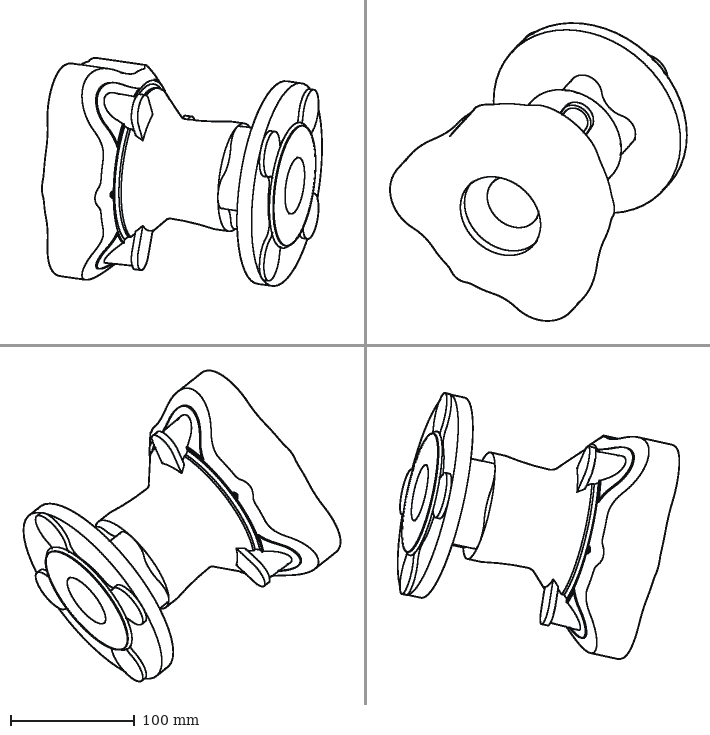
import cadquery as cq
import math


LENGTH = 189.8
KNOB_LIP_X = 58.8
NECK_START_X = 81.6
NECK_END_X = 89.8
FLARE_END_X = 127.5
BODY_END_X = 139.9
FLANGE_X = 167.8
FLANGE_RIM_X = 170.5
FLANGE_BACK_X = 183.0
LUG_PLATE_BACK_X = 186.8

LOBE_COUNT = 3
LOBE_STEP = 360.0 / LOBE_COUNT
LOBE_R = 33.8
LOBE_CENTER = 65.9
LOBE_FILLET_R = 39.9
KNOB_CORE_R = 76.1
BUMP_R = 14.6
BUMP_CENTER = 65.0
BUMP_FILLET_R = 16.1
KNOB_EDGE_R = 5.3
RIM_WIDTH = 10.5

RIM_APEX_X = 126.8
BACK_APEX_X = 125.6
GROOVE_APEX_X = 123.7
RING_R = 62.3

PIN_CENTER = 72.1
PIN_WIDTH = 21.6
PIN_DRAFT = 2.0
PIN_INNER = 38.0
PIN_START_X = 28.5
COLLAR_X = 67.5
COLLAR_END_X = 72.9
COLLAR_WIDTH = 27.0

FLARE_EDGE_R = 9.5
BODY_R = 44.0
STEM_LOBE_COUNT = 4
STEM_LOBE_R = 14.2
STEM_LOBE_END = 82.0
FLANGE_R = 82.7
LUG_COUNT = 4
LUG_CENTER = 45.5
LUG_R = 18.6
LUG_FILLET_R = 10.2
END_DISC_R = 51.2
END_DISC_CHAMFER = 2.3

BORE_R = 46.0 / 2
MOUTH_R = 71.0 / 2
MOUTH_DEPTH = 8.2
BORE_CONE_END_X = 25.0


def polar(radius, degrees, center=(0.0, 0.0)):
    """Point at a radius and angle around a centre."""
    angle = math.radians(degrees)
    return (center[0] + radius * math.cos(angle), center[1] + radius * math.sin(angle))


def rotated(point, degrees):
    """Point turned about the axis."""
    return polar(math.hypot(*point), math.degrees(math.atan2(point[1], point[0])) + degrees)


def mirrored(point):
    """Point reflected to the other side of a lobe's centre line."""
    return (point[0], -point[1])


def section(x):
    """Sketch plane across the axis, with Y to the right and Z up."""
    return cq.Workplane("YZ", origin=(x, 0, 0))


def revolved(points):
    """Solid turned about the X axis from (x, radius) points."""
    return cq.Workplane("XY").polyline(points).close().revolve(360, (0, 0, 0), (1, 0, 0))


def blended_outline(plane, core_r, lobes):
    """Circle around the axis with round lobes blended into it by concave fillets.

    Each lobe is (direction, distance of its centre, radius, fillet radius), in turning order.
    """
    blends = []
    for direction, distance, lobe_r, fillet_r in lobes:
        fillet_distance = core_r + fillet_r
        gap = lobe_r + fillet_r
        cosine = (distance**2 + fillet_distance**2 - gap**2) / (2 * distance * fillet_distance)
        core_angle = math.degrees(math.acos(cosine))
        fillet = polar(fillet_distance, core_angle)
        lobe_angle = math.degrees(math.atan2(fillet[1], fillet[0] - distance))
        after = [
            polar(lobe_r, lobe_angle, (distance, 0.0)),
            polar(-fillet_r, (lobe_angle + core_angle) / 2, fillet),
            polar(core_r, core_angle),
        ]
        before = [rotated(mirrored(point), direction) for point in after]
        after = [rotated(point, direction) for point in after]
        tip = polar(distance + lobe_r, direction)
        blends.append((direction, core_angle, before, tip, after))

    last_direction, last_angle, _, _, last_after = blends[-1]
    arc_start = last_direction + last_angle - 360
    wire = plane.moveTo(*last_after[2])
    for direction, core_angle, before, tip, after in blends:
        arc_end = direction - core_angle
        wire = (
            wire.threePointArc(polar(core_r, (arc_start + arc_end) / 2), before[2])
            .threePointArc(before[1], before[0])
            .threePointArc(tip, after[0])
            .threePointArc(after[1], after[2])
        )
        arc_start = direction + core_angle
    return wire.close()


def knob_outline(plane):
    """Three large lobes, the first along +Y, with a small bump between each two."""
    waves = []
    for index in range(LOBE_COUNT):
        turn = LOBE_STEP * index
        waves.append((turn, LOBE_CENTER, LOBE_R, LOBE_FILLET_R))
        waves.append((turn + LOBE_STEP / 2, BUMP_CENTER, BUMP_R, BUMP_FILLET_R))
    return blended_outline(plane, KNOB_CORE_R, waves)


def knob():
    """Lobed head whose conical back is sunk inside a narrow rim."""
    lip_r = RIM_APEX_X - KNOB_LIP_X
    rim_cone = revolved([(0, 0), (0, RIM_APEX_X), (KNOB_LIP_X, lip_r), (KNOB_LIP_X, 0)])
    floor_cone = revolved([
        (0, 0),
        (0, BACK_APEX_X),
        (BACK_APEX_X - lip_r, lip_r),
        (KNOB_LIP_X, lip_r),
        (KNOB_LIP_X, 0),
    ])
    head = knob_outline(section(0)).extrude(KNOB_LIP_X).faces("<X").edges().fillet(KNOB_EDGE_R)
    inside = knob_outline(section(0)).offset2D(-RIM_WIDTH).extrude(KNOB_LIP_X)
    return head.intersect(rim_cone).cut(inside.cut(floor_cone))


def sleeve():
    """Back cone of the knob, neck arc, gentle flare and cylindrical end of the sleeve."""
    neck_arc_r = (NECK_END_X - NECK_START_X) / math.sin(math.radians(45))
    neck_start_r = BACK_APEX_X - NECK_START_X
    neck_r = neck_start_r - neck_arc_r * (1 - math.cos(math.radians(45)))
    neck_mid = polar(-neck_arc_r, (45 + 90) / 2, (NECK_END_X, neck_r + neck_arc_r))
    profile = (
        cq.Workplane("XY")
        .moveTo(MOUTH_DEPTH, 0)
        .lineTo(MOUTH_DEPTH, GROOVE_APEX_X - KNOB_LIP_X)
        .lineTo(KNOB_LIP_X, GROOVE_APEX_X - KNOB_LIP_X)
        .lineTo(GROOVE_APEX_X - RING_R, RING_R)
        .lineTo(BACK_APEX_X - RING_R, RING_R)
        .lineTo(NECK_START_X, neck_start_r)
        .threePointArc(neck_mid, (NECK_END_X, neck_r))
        .tangentArcPoint((FLARE_END_X, BODY_R), relative=False)
        .lineTo(BODY_END_X, BODY_R)
        .lineTo(BODY_END_X, 0)
        .close()
    )
    body = profile.revolve(360, (0, 0, 0), (1, 0, 0))
    flare_edge = cq.selectors.BoxSelector((FLARE_END_X - 1.9, -1.9, -1.9), (FLARE_END_X + 1.9, 1.9, 1.9))
    return body.edges(flare_edge).fillet(FLARE_EDGE_R)


def pin_outline(x, width):
    """Slot pointing along +Y, round at the lobe and buried in the neck at its inner end."""
    reach = PIN_CENTER - PIN_INNER
    middle = (PIN_CENTER + PIN_INNER) / 2
    return section(x).center(middle, 0).slot2D(reach + width, width)


def pins():
    """One collared pin standing on the back of each lobe."""
    shaft = pin_outline(COLLAR_X, PIN_WIDTH).extrude(PIN_START_X - COLLAR_X, taper=-PIN_DRAFT)
    collar = pin_outline(COLLAR_X, COLLAR_WIDTH).extrude(COLLAR_END_X - COLLAR_X)
    pin = shaft.union(collar)
    group = pin
    for index in range(1, LOBE_COUNT):
        group = group.union(pin.rotate((0, 0, 0), (1, 0, 0), LOBE_STEP * index))
    return group


def stem():
    """Four round lobes along Y and Z with a concave cove between each two."""
    lobe_center = BODY_R - STEM_LOBE_R
    end_angle = math.radians(STEM_LOBE_END)
    center_gap = lobe_center / (math.sin(end_angle) - math.cos(end_angle))
    cove_r = center_gap - STEM_LOBE_R
    cove_center = center_gap * math.sin(end_angle) * math.sqrt(2)
    lobe_end = polar(STEM_LOBE_R, STEM_LOBE_END, (lobe_center, 0.0))

    wire = section(BODY_END_X).moveTo(*mirrored(lobe_end))
    for index in range(STEM_LOBE_COUNT):
        turn = 90.0 * index
        wire = wire.threePointArc(polar(BODY_R, turn), rotated(lobe_end, turn))
        wire = wire.threePointArc(
            polar(cove_center - cove_r, turn + 45),
            rotated(mirrored(lobe_end), turn + 90),
        )
    return wire.close().extrude(FLANGE_RIM_X - BODY_END_X)


def flange():
    """Round plate with a slightly conical front and a chamfered disc behind the lugs."""
    return revolved([
        (FLANGE_X, 0),
        (FLANGE_X, BODY_R),
        (FLANGE_RIM_X, FLANGE_R),
        (FLANGE_BACK_X, FLANGE_R),
        (FLANGE_BACK_X, BODY_R),
        (LUG_PLATE_BACK_X, BODY_R),
        (LUG_PLATE_BACK_X, END_DISC_R),
        (LUG_PLATE_BACK_X + END_DISC_CHAMFER, END_DISC_R - END_DISC_CHAMFER),
        (LENGTH, END_DISC_R - END_DISC_CHAMFER),
        (LENGTH, 0),
    ])


def lug_plate():
    """Round core with four diagonal lugs on the back of the flange."""
    distance = math.hypot(LUG_CENTER, LUG_CENTER)
    lugs = [(45 + 90 * index, distance, LUG_R, LUG_FILLET_R) for index in range(LUG_COUNT)]
    outline = blended_outline(section(FLANGE_BACK_X), BODY_R, lugs)
    return outline.extrude(LUG_PLATE_BACK_X - FLANGE_BACK_X)


def bore():
    """Through bore with a wide mouth and a cone leading into it."""
    return revolved([
        (0, 0),
        (0, MOUTH_R),
        (MOUTH_DEPTH, MOUTH_R),
        (BORE_CONE_END_X, BORE_R),
        (LENGTH, BORE_R),
        (LENGTH, 0),
    ])


result = knob().union(sleeve()).union(pins()).union(stem()).union(flange()).union(lug_plate()).cut(bore())